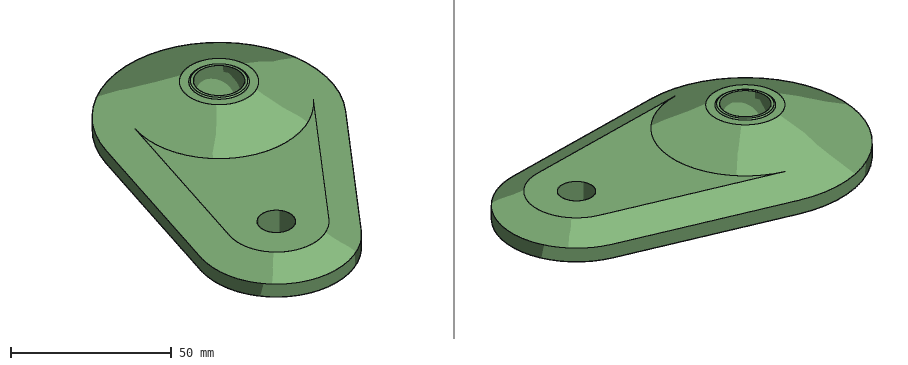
import cadquery as cq
import math

overall_length = 131.2
hub_radius = 39.5
arm_radius = 26.5
arm_x = overall_length - hub_radius - arm_radius

base_height = 5.0
arm_height = 10.0
shoulder_height = 18.4
lip_height = 18.8

shoulder_radius = 12.3
flank_run_per_rise = (hub_radius - shoulder_radius) / (shoulder_height - base_height)
arm_inset = flank_run_per_rise * (arm_height - base_height)

socket_radius = 8.0
socket_wall_depth = 2.5
lip_radius = 9.5
lip_top_radius = 8.9

arm_hole_diameter = 12.0


def teardrop(inset, height):
    """Closed tangent outline, moved inward by inset, at the given height."""
    hub_r = hub_radius - inset
    arm_r = arm_radius - inset
    sin_tilt = (hub_r - arm_r) / arm_x
    cos_tilt = math.sqrt(1 - sin_tilt**2)
    return (
        cq.Workplane("XY", origin=(0, 0, height))
        .moveTo(hub_r * sin_tilt, hub_r * cos_tilt)
        .threePointArc((-hub_r, 0), (hub_r * sin_tilt, -hub_r * cos_tilt))
        .lineTo(arm_x + arm_r * sin_tilt, -arm_r * cos_tilt)
        .threePointArc((arm_x + arm_r, 0), (arm_x + arm_r * sin_tilt, arm_r * cos_tilt))
        .close()
    )


def make_plate():
    """Flat base with the sloped-edge arm platform on top."""
    base = teardrop(0, 0).extrude(base_height)
    lower_wire = teardrop(0, base_height).val()
    upper_wire = teardrop(arm_inset, arm_height).val()
    platform = cq.Solid.makeLoft([lower_wire, upper_wire], True)
    return base.union(cq.Workplane(platform))


def make_hub():
    """Cone with a flat shoulder and a small tapered lip."""
    return (
        cq.Workplane("XZ")
        .polyline([
            (0, 0),
            (hub_radius, 0),
            (hub_radius, base_height),
            (shoulder_radius, shoulder_height),
            (lip_radius, shoulder_height),
            (lip_top_radius, lip_height),
            (0, lip_height),
        ])
        .close()
        .revolve(360, (0, 0, 0), (0, 1, 0))
    )


def make_socket():
    """Short cylindrical bore ending in a hemispherical bowl."""
    bowl_center_z = lip_height - socket_wall_depth
    bowl_mid_offset = socket_radius * math.sqrt(0.5)
    return (
        cq.Workplane("XZ")
        .moveTo(0, lip_height)
        .lineTo(socket_radius, lip_height)
        .lineTo(socket_radius, bowl_center_z)
        .threePointArc(
            (bowl_mid_offset, bowl_center_z - bowl_mid_offset),
            (0, bowl_center_z - socket_radius),
        )
        .close()
        .revolve(360, (0, 0, 0), (0, 1, 0))
    )


def make_arm_hole():
    """Through hole on the axis of the arm end."""
    return cq.Workplane("XY").center(arm_x, 0).circle(arm_hole_diameter / 2).extrude(arm_height)


result = make_plate().union(make_hub()).cut(make_socket()).cut(make_arm_hole())